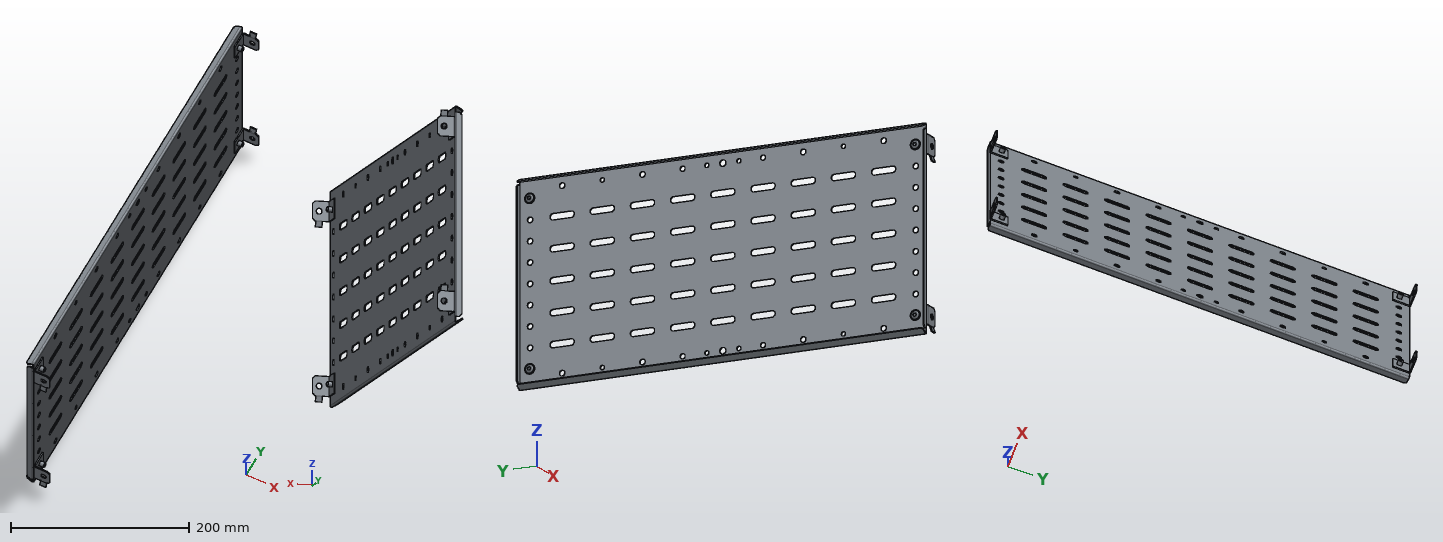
import cadquery as cq
import math


sheet = 1.5
bend_radius = sheet

panel_height = 247.5
panel_width = 507.5
flange_depth = 8.0
flange_length = 234.0
flange_chamfer = 3.0
lip_width = 505.5
lip_bend_radius = 0.25
lip_corner_chamfer = 2.0
lip_angle = 30.0
lip_reach = 10.0

slot_columns = 9
slot_rows = 5
columns_span = 400.0
rows_span = 150.0
pitch = columns_span / (slot_columns - 1)
slot_row_pitch = rows_span / (slot_rows - 1)
slot_length = 30.0
slot_width = 7.5
edge_hole_diameter = 6.5
medium_hole_diameter = 6.0
small_hole_diameter = 5.0
centre_hole_diameter = 7.5
edge_row_z = 110.0
inner_hole_y = 20.0
side_hole_pitch = pitch / 2
side_holes = 7

fixing_y = 240.0
fixing_z = 2 * pitch
fixings = [(side, side * fixing_y, level * fixing_z) for side in (-1, 1) for level in (-1, 1)]

bracket_depth = 20.5
bracket_height = 23.0
bracket_chamfer = 3.0
foot_length = 21.5
tab_width = 7.5
tab_drop = 6.0
bracket_hole_x = 13.0
bracket_hole_diameter = 6.5
overall_width = 511.5

shank_diameter = 6.0
shank_end = 7.5
shank_chamfer = 1.0
collar_diameter = 12.5
collar_height = 1.0
dome_diameter = 10.0
dome_height = 2.0
dome_fillet = 1.8
socket_sides = 6
socket_size = 4.0
socket_depth = 1.5


def side_channel():
    """Panel web with its two side flanges, bent forward, as one extruded channel."""
    half = panel_width / 2
    inner_half = half - sheet
    channel = (
        cq.Workplane("XY")
        .polyline([
            (0, -half), (0, half), (-flange_depth, half), (-flange_depth, inner_half),
            (-sheet, inner_half), (-sheet, -inner_half), (-flange_depth, -inner_half),
            (-flange_depth, -half),
        ])
        .close()
        .extrude(flange_length / 2, both=True)
    )
    channel = channel.edges("|Z and >X").fillet(bend_radius)
    return channel.edges("|Y and <X").chamfer(flange_chamfer)


def lip_web():
    """Panel web between the lips, with the top and bottom lips folded forward and inward."""
    slope = math.radians(lip_angle)
    along_x, along_z = math.cos(slope), math.sin(slope)
    outer_radius = lip_bend_radius + sheet
    bend_x, bend_z = -outer_radius, panel_height / 2 - outer_radius

    def on_bend(radius, angle):
        return (bend_x + radius * math.cos(angle), bend_z + radius * math.sin(angle))

    bend_end = math.pi / 2 + slope
    outer_start = on_bend(outer_radius, bend_end)
    lip_length = (lip_reach + outer_start[0]) / along_x
    outer_tip = (-lip_reach, outer_start[1] - lip_length * along_z)
    inner_tip = (outer_tip[0] + sheet * along_z, outer_tip[1] - sheet * along_x)
    upper_half = (
        cq.Workplane("XZ")
        .moveTo(0, 0)
        .lineTo(0, bend_z)
        .threePointArc(on_bend(outer_radius, bend_end / 2), outer_start)
        .lineTo(*outer_tip)
        .lineTo(*inner_tip)
        .lineTo(*on_bend(lip_bend_radius, bend_end))
        .threePointArc(on_bend(lip_bend_radius, bend_end / 2), (-sheet, bend_z))
        .lineTo(-sheet, 0)
        .close()
        .extrude(lip_width / 2, both=True)
    )
    tip_corners = cq.selectors.BoxSelector(
        (-lip_reach - sheet, -panel_width, 0), (sheet - lip_reach, panel_width, panel_height),
    )
    upper_half = upper_half.edges(tip_corners).edges("not |Y").chamfer(lip_corner_chamfer)
    return upper_half.union(upper_half.mirror("XY"))


def through_web(points, diameter):
    """Cutters for round holes through the web at (Y, Z) points."""
    return cq.Workplane("YZ").pushPoints(points).circle(diameter / 2).extrude(-sheet)


def both_edges(y_positions):
    """Points at the given Y, on both sides, in the top and bottom hole rows."""
    return [(s * y, e * edge_row_z) for y in y_positions for s in (-1, 1) for e in (-1, 1)]


def make_panel():
    panel = side_channel().union(lip_web())
    middle = (side_holes - 1) / 2
    slots = (
        cq.Workplane("YZ")
        .rarray(pitch, slot_row_pitch, slot_columns, slot_rows)
        .slot2D(slot_length, slot_width)
        .extrude(-sheet)
    )
    side_points = [
        (s * fixing_y, (i - middle) * side_hole_pitch)
        for s in (-1, 1) for i in range(side_holes)
    ]
    edge_points = both_edges([2 * pitch, 4 * pitch])
    fixing_points = [(y, z) for _, y, z in fixings]
    panel = panel.cut(slots)
    panel = panel.cut(through_web(side_points + edge_points, edge_hole_diameter))
    panel = panel.cut(through_web(both_edges([pitch]), medium_hole_diameter))
    panel = panel.cut(through_web(both_edges([inner_hole_y, 3 * pitch]), small_hole_diameter))
    panel = panel.cut(through_web([(0, edge_row_z), (0, -edge_row_z)], centre_hole_diameter))
    return panel.cut(through_web(fixing_points, shank_diameter))


def make_bracket(side, z):
    """Angle bracket behind the panel; on the +Y side it is turned half a turn about X."""
    outer_y = -panel_width / 2
    half_height = bracket_height / 2
    angle = (
        cq.Workplane("XY")
        .polyline([
            (0, outer_y), (bracket_depth, outer_y), (bracket_depth, outer_y + sheet),
            (sheet, outer_y + sheet), (sheet, outer_y + foot_length), (0, outer_y + foot_length),
        ])
        .close()
        .extrude(half_height, both=True)
    )
    angle = angle.edges("|Z and <X and <Y").fillet(bend_radius)
    angle = angle.edges("|Y and >X").chamfer(bracket_chamfer)
    hole = (
        cq.Workplane("XZ", origin=(bracket_hole_x, outer_y, 0))
        .circle(bracket_hole_diameter / 2)
        .extrude(-sheet)
    )
    screw_hole = (
        cq.Workplane("YZ").center(-fixing_y, 0).circle(shank_diameter / 2).extrude(sheet)
    )
    tab_tip_y = -overall_width / 2
    tab_slope = math.atan2(outer_y - tab_tip_y, tab_drop)
    tab_tip_z = -half_height - tab_drop
    tab = (
        cq.Workplane("YZ", origin=(bracket_hole_x, 0, 0))
        .polyline([
            (outer_y, -half_height),
            (tab_tip_y, tab_tip_z),
            (tab_tip_y + sheet * math.cos(tab_slope), tab_tip_z - sheet * math.sin(tab_slope)),
            (outer_y + sheet, -half_height),
        ])
        .close()
        .extrude(tab_width / 2, both=True)
    )
    bracket = angle.union(tab).cut(hole).cut(screw_hole)
    if side > 0:
        bracket = bracket.rotate((0, 0, 0), (1, 0, 0), 180)
    return bracket.translate((0, 0, z))


def make_screw(y, z):
    """Socket screw with a domed, collared head on the front of the panel."""
    head = (
        cq.Workplane("YZ", origin=(-sheet, 0, 0))
        .circle(collar_diameter / 2)
        .extrude(-collar_height)
        .faces("<X").workplane()
        .circle(dome_diameter / 2).extrude(dome_height)
        .faces("<X").edges().fillet(dome_fillet)
        .faces("<X").workplane()
        .polygon(socket_sides, socket_size).cutBlind(-socket_depth)
    )
    shank = (
        cq.Workplane("YZ", origin=(-sheet, 0, 0))
        .circle(shank_diameter / 2)
        .extrude(sheet + shank_end)
        .faces(">X").edges().chamfer(shank_chamfer)
    )
    return head.union(shank).translate((0, y, z))


panel = make_panel()
brackets = [make_bracket(side, z).val() for side, _, z in fixings]
screws = [make_screw(y, z).val() for _, y, z in fixings]

result = cq.Compound.makeCompound([panel.val(), *brackets, *screws])